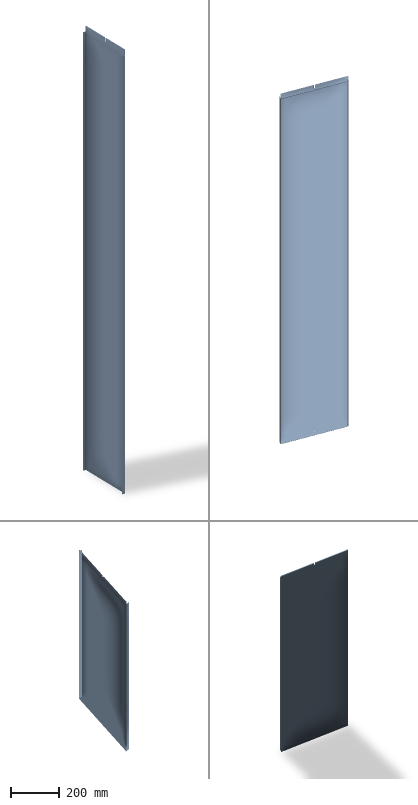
import cadquery as cq

width = 302.0
depth = 15.4
height = 1999.0

sheet = 1.0
lip_thickness = 3.0
lip_height = 30.0
flange_gap = 25.0

notch_width = 7.0
notch_depth = 20.0
hole_diameter = 5.0
hole_height = 20.0

body_height = height - flange_gap
half_width = width / 2
back = depth / 2
front = -depth / 2


def box(x_start, x_end, y_start, y_end, z_start, z_end):
    """Axis-aligned box between two opposite corners."""
    size = (x_end - x_start, y_end - y_start, z_end - z_start)
    return cq.Workplane("XY").box(*size, centered=False).translate((x_start, y_start, z_start))


def back_cylinder(diameter, z):
    """Round cutter along Y on the centreline, through the full depth."""
    return cq.Workplane("XZ", origin=(0, back, z)).circle(diameter / 2).extrude(depth)


panel = box(-half_width, half_width, back - sheet, back, 0, height)
lip = box(-half_width, half_width, back - lip_thickness, back, height - lip_height, height)
body = panel.union(lip)

for x_start in (-half_width, half_width - sheet):
    body = body.union(box(x_start, x_start + sheet, front, back, 0, body_height))

notch_radius = notch_width / 2
notch_centre = height - notch_depth + notch_radius
notch = box(-notch_radius, notch_radius, front, back, notch_centre, height)
notch = notch.union(back_cylinder(notch_width, notch_centre))

hole = back_cylinder(hole_diameter, hole_height)

result = body.cut(notch).cut(hole)